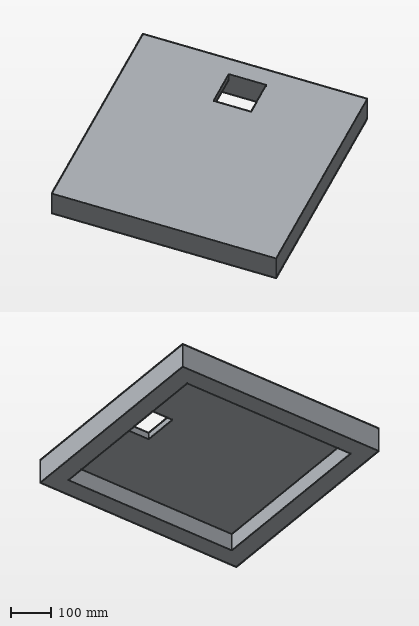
import cadquery as cq

side = 600.0
height = 70.0
top_thickness = 20.0
rim_width = 50.0

opening_side = 100.0
opening_center_y = side / 2 - rim_width - opening_side / 2

cavity_side = side - 2 * rim_width
cavity_depth = height - top_thickness


def make_block():
    """Solid square block resting on the XY plane."""
    return cq.Workplane("XY").rect(side, side).extrude(height)


def make_cavity():
    """Square hollow, open at the bottom, that leaves the top plate and the rim."""
    return cq.Workplane("XY").rect(cavity_side, cavity_side).extrude(cavity_depth)


def make_opening():
    """Square prism that cuts the opening through the top plate."""
    return (
        cq.Workplane("XY")
        .center(0, opening_center_y)
        .rect(opening_side, opening_side)
        .extrude(height)
    )


result = make_block().cut(make_cavity()).cut(make_opening())